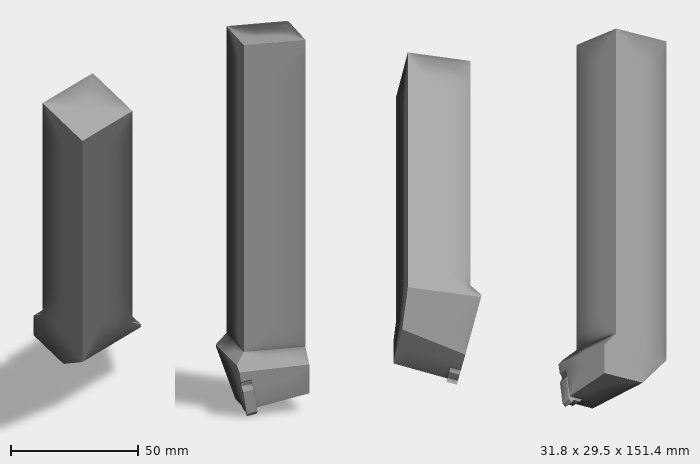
import cadquery as cq
import math

total_length = 151.4
shank_width = 25.1
shoulder_height = 24.8

head_back_overhang = 4.4
side_overhang_front = 5.6
side_clearance_angle = 1.3
bevel_height = 19.0
underside_height = 7.3
rake_angle = 10.0
rake_roll_angle = 1.0
stock_margin = 15.1

insert_thickness = 4.2
tip_x = -5.5
tip_height = 1.4
tip_left = 1.2
tip_right = 0.8
heel_height = 1.5
heel_end = 4.1
heel_chamfer = 1.2
insert_right = heel_end + heel_chamfer
side_edge_top = 10.6
insert_relief_depth = 1.4
insert_top = 12.7
relief_left = insert_relief_depth - tip_left

notch_step_x = -0.2
notch_step_height = 14.1
notch_height = 15.5

rake_slope = math.tan(math.radians(rake_angle))
roll = math.radians(rake_roll_angle)
lean = math.radians(rake_angle)


def make_rake_plane():
    """Plane on the rake face at the cutting tip; its normal points into the holder."""
    ridge_y = shank_width + head_back_overhang
    ridge_z = shoulder_height - head_back_overhang
    tip_y = ridge_y - ridge_z * rake_slope - (shank_width - tip_x) * math.tan(roll)
    across = cq.Vector(math.cos(roll), math.sin(roll), 0)
    inward = cq.Vector(
        math.sin(roll) * math.cos(lean),
        -math.cos(roll) * math.cos(lean),
        math.sin(lean),
    )
    return cq.Plane(origin=(tip_x, tip_y, 0), xDir=across, normal=inward)


def make_blank():
    """Shank and flared head, before the rake face is trimmed."""
    far = shank_width + stock_margin
    bevel_run = bevel_height + stock_margin
    front_outline = (
        cq.Workplane("XZ")
        .polyline([
            (0, total_length),
            (shank_width, total_length),
            (shank_width, bevel_height),
            (shank_width - bevel_run, -stock_margin),
            (-stock_margin, -stock_margin),
            (-stock_margin, shoulder_height - stock_margin),
            (0, shoulder_height),
        ])
        .close()
        .extrude(-far)
    )
    side_outline = (
        cq.Workplane("YZ", origin=(-stock_margin, 0, 0))
        .polyline([
            (0, total_length),
            (shank_width, total_length),
            (shank_width, shoulder_height),
            (far, shoulder_height - stock_margin),
            (far, underside_height - far * rake_slope),
            (0, underside_height),
        ])
        .close()
        .extrude(stock_margin + shank_width)
    )
    clearance_run = far * math.tan(math.radians(side_clearance_angle))
    plan_outline = (
        cq.Workplane("XY", origin=(0, 0, -stock_margin))
        .polyline([
            (-side_overhang_front, 0),
            (shank_width, 0),
            (shank_width, far),
            (-side_overhang_front - clearance_run, far),
        ])
        .close()
        .extrude(total_length + stock_margin)
    )
    return front_outline.intersect(side_outline).intersect(plan_outline)


def make_rake_trim(rake_plane):
    """Stock in front of the rake face, reaching only as high as the shoulder."""
    return (
        cq.Workplane(rake_plane)
        .rect(2 * total_length, 2 * shoulder_height)
        .extrude(-stock_margin)
    )


def make_insert(rake_plane):
    return (
        cq.Workplane(rake_plane)
        .polyline([
            (0, 0),
            (tip_right, tip_height),
            (tip_right, heel_height),
            (heel_end, heel_height),
            (insert_right, heel_height + heel_chamfer),
            (insert_right, insert_top),
            (relief_left, insert_top),
            (-tip_left, side_edge_top),
            (-tip_left, tip_height),
        ])
        .close()
        .extrude(insert_thickness)
    )


def make_notch(rake_plane):
    """Open notch between the relieved insert corner and the head's side wall."""
    return (
        cq.Workplane(rake_plane)
        .polyline([
            (relief_left, insert_top),
            (notch_step_x, notch_step_height),
            (-tip_left, notch_height),
            (-tip_left, side_edge_top),
        ])
        .close()
        .extrude(insert_thickness)
    )


rake_plane = make_rake_plane()
insert = make_insert(rake_plane)
holder = (
    make_blank()
    .cut(make_rake_trim(rake_plane))
    .cut(insert)
    .cut(make_notch(rake_plane))
)

result = cq.Compound.makeCompound([*holder.solids().vals(), insert.val()])